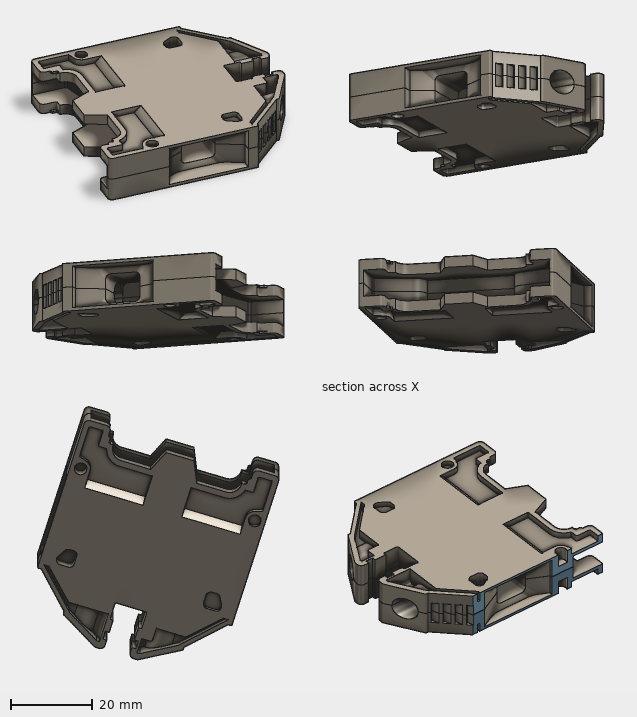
import cadquery as cq
import math

WIDTH = 50.0
HALF_WIDTH = WIDTH / 2
HALF_LENGTH = 27.5
HALF_THICKNESS = 6.0
CORNER_RADIUS = 1.2
SMALL_RADIUS = 0.35
CORNER_TOLERANCE = 0.005

FOOT_INNER_X = 18.35
FOOT_STEP_Y = -23.2
ARCH_X = 13.5
ARCH_RADIUS = 3.0
ARCH_TOP_Y = -19.95
ARCH_SIDE_X = ARCH_X + ARCH_RADIUS
TONGUE_TIP_X = 3.6
TONGUE_ROOT_X = 5.95
TONGUE_TIP_Y = -25.25

SHOULDER_X = 24.05
SHOULDER_Y = 12.3
LEDGE_X = 15.4
LEDGE_LOW_Y = 21.05
LEDGE_HIGH_Y = 21.8
SLOPE = math.tan(math.radians(30))
PEAK_X = LEDGE_X - (HALF_LENGTH - LEDGE_HIGH_Y) / SLOPE
SLOT_X = 3.25
SLOT_LOW_X = 4.05
SLOT_LOW_TOP_Y = 19.6
SLOT_BOTTOM_Y = 15.2
NOTCH_X = 4.25
NOTCH_LOW_Y = 22.9
NOTCH_HIGH_Y = 24.9

TOOTH_DEPTH = 0.55
TOOTH_TIP_X = 17.25
TOOTH_X = 17.7
TOOTH_LIP = 0.2
TOOTH_BOTTOM_Y = -25.1
TOOTH_CHAMFER = 0.45

CAVITY_HALF_HEIGHT = 3.3
CAVITY_HALF_WIDTH = 23.55
CAVITY_CORNER_X = 23.15
CAVITY_CORNER_Y = -18.3
CAVITY_SIDE_Y = -19.0
CAVITY_SHELF_X = 14.1
CAVITY_SHELF_Y = -15.95

RECESS_DEPTH = 1.65
RECESS_INNER_X = 5.0
RECESS_OUTER_X = 19.95
RECESS_FOOT_X = 23.55
RECESS_TOP_Y = -10.65
RECESS_RAMP_Y = -12.5
RECESS_WALL = 1.5
RECESS_KNEE_Y = -21.85
RECESS_FOOT_BOTTOM_Y = -26.0
RECESS_FOOT_DROP = 0.65
RECESS_ARC_END_ANGLE = 250

PEG_X = 22.4
PEG_Y = -15.0
PEG_DIAMETER = 3.0
DEEP = 3.6
SHALLOW = 1.45
KEY_INNER_X = 16.65
KEY_OUTER_X = 21.1
KEY_FLANK_X = 19.6
KEY_BOTTOM_Y = 5.5
KEY_TOP_Y = 9.9
KEY_FLANK_Y = 8.25

POCKET_WALL_X = 4.85
POCKET_TOP_Y = 25.8
POCKET_PEAK_X = 5.55
POCKET_BEND_X = 13.95
POCKET_BEND_Y = POCKET_TOP_Y - (POCKET_BEND_X - POCKET_PEAK_X) * SLOPE
POCKET_BOTTOM_Y = 18.4
POCKET_BOTTOM_X = 15.05
GROOVE_END_Y = 11.05
GROOVE_OUTER_END_X = 23.7
GROOVE_INNER_END_X = 22.45
POCKET_STEP_X = 7.5
POCKET_STEP_Y = 22.0
POCKET_FLOOR_Z = 3.6
TRENCH_FLOOR_Z = 1.75
STEPPED_TRENCH_FLOOR_Z = 0.55
TRENCH_RADIUS = 1.2
STEPPED_TRENCH_RADIUS = 0.95

SCREW_X = 10.6
SCREW_DIAMETER = 6.05
TUBE_RADIUS = 4.05

FUNNEL_LOW_Y = -11.55
FUNNEL_HIGH_Y = 9.5
FUNNEL_HEIGHT = 10.4
FUNNEL_THROAT_X = 19.65
FUNNEL_GROWTH = 2.0
PASSAGE_LENGTH = 9.0
PASSAGE_HALF_HEIGHT = 3.7
PASSAGE_CENTER_Y = -1.6
PASSAGE_RADIUS = 1.4
SECTION_SLAB = 0.55
PASSAGE_END_X = SCREW_X - SCREW_DIAMETER / 2

GRIP_COUNT = 4
GRIP_FIRST_Y = 20.55
GRIP_PITCH = 2.1
GRIP_WIDTH = 1.4
GRIP_BITE = 0.65
GRIP_HALF_HEIGHT = 2.95


def mirrored(points):
    """Points reflected in X."""
    return [(-x, y) for x, y in points]


def prism(points, low_z, high_z):
    """A closed polygon extruded between two heights."""
    return cq.Workplane("XY").workplane(offset=low_z).polyline(points).close().extrude(high_z - low_z)


def round_corners(body, corners, radius):
    """Rounds the upright edges that stand at the given points."""
    def at_corner(edge):
        center = edge.Center()
        return any(math.hypot(center.x - x, center.y - y) < CORNER_TOLERANCE for x, y in corners)

    return body.edges("|Z").filter(at_corner).fillet(radius)


def blank():
    """The solid outline of one housing half."""
    right_side = [
        (ARCH_SIDE_X, FOOT_STEP_Y),
        (FOOT_INNER_X, FOOT_STEP_Y),
        (FOOT_INNER_X, -HALF_LENGTH),
        (HALF_WIDTH, -HALF_LENGTH),
        (HALF_WIDTH, SHOULDER_Y),
        (SHOULDER_X, SHOULDER_Y),
        (LEDGE_X, LEDGE_LOW_Y),
        (LEDGE_X, LEDGE_HIGH_Y),
        (PEAK_X, HALF_LENGTH),
        (SLOT_X, HALF_LENGTH),
        (SLOT_X, NOTCH_HIGH_Y),
        (NOTCH_X, NOTCH_HIGH_Y),
        (NOTCH_X, NOTCH_LOW_Y),
        (SLOT_X, NOTCH_LOW_Y),
        (SLOT_X, SLOT_LOW_TOP_Y),
        (SLOT_LOW_X, SLOT_LOW_TOP_Y),
        (SLOT_LOW_X, SLOT_BOTTOM_Y),
    ]
    arch_end_y = ARCH_TOP_Y - ARCH_RADIUS
    outline = (
        cq.Workplane("XY")
        .moveTo(-TONGUE_TIP_X, TONGUE_TIP_Y)
        .lineTo(TONGUE_TIP_X, TONGUE_TIP_Y)
        .lineTo(TONGUE_ROOT_X, ARCH_TOP_Y)
        .lineTo(ARCH_X, ARCH_TOP_Y)
        .radiusArc((ARCH_SIDE_X, arch_end_y), ARCH_RADIUS)
    )
    for point in right_side + mirrored(right_side)[::-1]:
        outline = outline.lineTo(*point)
    body = (
        outline.lineTo(-ARCH_SIDE_X, arch_end_y)
        .radiusArc((-ARCH_X, ARCH_TOP_Y), ARCH_RADIUS)
        .lineTo(-TONGUE_ROOT_X, ARCH_TOP_Y)
        .close()
        .extrude(HALF_THICKNESS)
    )
    large = [
        (FOOT_INNER_X, -HALF_LENGTH),
        (HALF_WIDTH, -HALF_LENGTH),
        (PEAK_X, HALF_LENGTH),
        (SLOT_X, HALF_LENGTH),
    ]
    small = [
        (FOOT_INNER_X, FOOT_STEP_Y),
        (HALF_WIDTH, SHOULDER_Y),
        (LEDGE_X, LEDGE_HIGH_Y),
        (SLOT_LOW_X, SLOT_LOW_TOP_Y),
        (SLOT_LOW_X, SLOT_BOTTOM_Y),
    ]
    body = round_corners(body, large + mirrored(large), CORNER_RADIUS)
    return round_corners(body, small + mirrored(small), SMALL_RADIUS)


def tooth():
    """The small tooth beside the +X foot."""
    points = [
        (FOOT_INNER_X, FOOT_STEP_Y),
        (TOOTH_TIP_X, FOOT_STEP_Y),
        (TOOTH_TIP_X, FOOT_STEP_Y - TOOTH_LIP),
        (TOOTH_X, FOOT_STEP_Y - TOOTH_LIP),
        (TOOTH_X, TOOTH_BOTTOM_Y + TOOTH_CHAMFER),
        (FOOT_INNER_X, TOOTH_BOTTOM_Y),
    ]
    return prism(points, HALF_THICKNESS - TOOTH_DEPTH, HALF_THICKNESS)


def rail_cavity():
    """The space between the plates, open toward -Y, with a rounded shelf at each side."""
    roof_y = CAVITY_SHELF_Y + ARCH_RADIUS
    roof_x = CAVITY_SHELF_X - ARCH_RADIUS
    return (
        cq.Workplane("XY")
        .moveTo(-CAVITY_HALF_WIDTH, -HALF_LENGTH)
        .lineTo(CAVITY_HALF_WIDTH, -HALF_LENGTH)
        .lineTo(CAVITY_HALF_WIDTH, CAVITY_SIDE_Y)
        .lineTo(CAVITY_CORNER_X, CAVITY_CORNER_Y)
        .lineTo(CAVITY_SHELF_X, CAVITY_SHELF_Y)
        .radiusArc((roof_x, roof_y), ARCH_RADIUS)
        .lineTo(-roof_x, roof_y)
        .radiusArc((-CAVITY_SHELF_X, CAVITY_SHELF_Y), ARCH_RADIUS)
        .lineTo(-CAVITY_CORNER_X, CAVITY_CORNER_Y)
        .lineTo(-CAVITY_HALF_WIDTH, CAVITY_SIDE_Y)
        .close()
        .extrude(CAVITY_HALF_HEIGHT)
    )


def foot_recess():
    """The shallow recess above the +X foot, with a ramp along its upper side."""
    floor_z = HALF_THICKNESS - RECESS_DEPTH
    peg_arc_radius = PEG_X - RECESS_OUTER_X
    arc_end_angle = math.radians(RECESS_ARC_END_ANGLE)
    arc_end = (
        PEG_X + peg_arc_radius * math.cos(arc_end_angle),
        PEG_Y + peg_arc_radius * math.sin(arc_end_angle),
    )
    arch_y = ARCH_TOP_Y + RECESS_WALL
    outer_radius = ARCH_RADIUS + RECESS_WALL
    arch_center_y = ARCH_TOP_Y - ARCH_RADIUS
    knee_x = ARCH_X + math.sqrt(outer_radius**2 - (RECESS_KNEE_Y - arch_center_y) ** 2)
    recess = (
        cq.Workplane("XY")
        .workplane(offset=floor_z)
        .moveTo(RECESS_INNER_X, RECESS_TOP_Y)
        .lineTo(RECESS_OUTER_X, RECESS_TOP_Y)
        .lineTo(RECESS_OUTER_X, PEG_Y)
        .radiusArc(arc_end, -peg_arc_radius)
        .lineTo(RECESS_FOOT_X, arc_end[1] - RECESS_FOOT_DROP)
        .lineTo(RECESS_FOOT_X, RECESS_FOOT_BOTTOM_Y)
        .lineTo(RECESS_OUTER_X, RECESS_FOOT_BOTTOM_Y)
        .lineTo(RECESS_OUTER_X, RECESS_KNEE_Y)
        .lineTo(knee_x, RECESS_KNEE_Y)
        .radiusArc((ARCH_X, arch_y), -outer_radius)
        .lineTo(RECESS_INNER_X, arch_y)
        .close()
        .extrude(RECESS_DEPTH)
    )
    corners = [
        (RECESS_FOOT_X, RECESS_FOOT_BOTTOM_Y),
        (RECESS_OUTER_X, RECESS_FOOT_BOTTOM_Y),
        (RECESS_OUTER_X, RECESS_KNEE_Y),
    ]
    recess = round_corners(recess, corners, SMALL_RADIUS)
    ramp = (
        cq.Workplane("YZ")
        .polyline([
            (RECESS_TOP_Y, HALF_THICKNESS),
            (RECESS_TOP_Y, floor_z),
            (RECESS_RAMP_Y, floor_z),
        ])
        .close()
        .extrude(HALF_WIDTH)
    )
    return recess.cut(ramp)


def peg_hole(depth):
    """The round hole above the +X foot."""
    return (
        cq.Workplane("XY", origin=(0, 0, HALF_THICKNESS - depth))
        .center(PEG_X, PEG_Y)
        .circle(PEG_DIAMETER / 2)
        .extrude(depth)
    )


def key_pocket(depth):
    """The five-sided pocket at the +X side, narrower at its lower end."""
    points = [
        (KEY_INNER_X, KEY_BOTTOM_Y),
        (KEY_FLANK_X, KEY_BOTTOM_Y),
        (KEY_OUTER_X, KEY_FLANK_Y),
        (KEY_OUTER_X, KEY_TOP_Y),
        (KEY_INNER_X, KEY_TOP_Y),
    ]
    return prism(points, HALF_THICKNESS - depth, HALF_THICKNESS).edges("|Z").fillet(CORNER_RADIUS)


def tube_pocket(stepped):
    """The +X upper pocket and groove; a stepped one keeps a block at its lower inner corner."""
    if stepped:
        trench_floor_z = STEPPED_TRENCH_FLOOR_Z
        trench_radius = STEPPED_TRENCH_RADIUS
        inner_corner = [
            (POCKET_STEP_X, POCKET_BOTTOM_Y),
            (POCKET_STEP_X, POCKET_STEP_Y - SMALL_RADIUS),
            (POCKET_STEP_X - SMALL_RADIUS, POCKET_STEP_Y),
            (POCKET_WALL_X, POCKET_STEP_Y),
        ]
    else:
        trench_floor_z = TRENCH_FLOOR_Z
        trench_radius = TRENCH_RADIUS
        inner_corner = [(POCKET_WALL_X, POCKET_BOTTOM_Y)]
    points = inner_corner + [
        (POCKET_WALL_X, POCKET_TOP_Y),
        (POCKET_PEAK_X, POCKET_TOP_Y),
        (POCKET_BEND_X, POCKET_BEND_Y),
        (GROOVE_OUTER_END_X, GROOVE_END_Y),
        (GROOVE_INNER_END_X, GROOVE_END_Y),
        (POCKET_BOTTOM_X, POCKET_BOTTOM_Y),
    ]
    pocket = prism(points, trench_floor_z, HALF_THICKNESS)
    wall_foot = pocket.faces("<Z").edges("<X")
    pocket = wall_foot.fillet(trench_radius)
    floor = cq.Workplane("XY").box(
        HALF_WIDTH - SCREW_X, HALF_LENGTH, POCKET_FLOOR_Z, centered=False
    ).translate((SCREW_X, 0, 0))
    tube = (
        cq.Workplane("XZ")
        .center(SCREW_X, 0)
        .circle(TUBE_RADIUS)
        .extrude(-HALF_LENGTH)
    )
    return pocket.cut(floor).cut(tube)


def screw_hole():
    """The round hole along Y from the slope into the wire passage at the +X side."""
    return (
        cq.Workplane("XZ", origin=(0, PASSAGE_CENTER_Y, 0))
        .center(SCREW_X, 0)
        .circle(SCREW_DIAMETER / 2)
        .extrude(PASSAGE_CENTER_Y - HALF_LENGTH)
    )


def passage_wire(x, growth):
    """The rounded outline of the wire passage at one X, widened on every side by growth."""
    length = PASSAGE_LENGTH + 2 * growth
    height = 2 * (PASSAGE_HALF_HEIGHT + growth)
    slab = (
        cq.Workplane("YZ", origin=(x, PASSAGE_CENTER_Y, 0))
        .rect(length, height)
        .extrude(SECTION_SLAB)
        .edges("|X")
        .fillet(PASSAGE_RADIUS)
    )
    return slab.faces("<X").wires().val()


def wire_entry():
    """The +X wire funnel, clipped to a box, and the rounded passage behind it."""
    throat = passage_wire(FUNNEL_THROAT_X, 0)
    mouth = passage_wire(HALF_WIDTH, FUNNEL_GROWTH * (HALF_WIDTH - FUNNEL_THROAT_X))
    cone = cq.Workplane(cq.Solid.makeLoft([throat, mouth], True))
    mouth_box = cq.Workplane("XY").box(
        HALF_WIDTH, FUNNEL_HIGH_Y - FUNNEL_LOW_Y, FUNNEL_HEIGHT, centered=(False, False, True)
    ).translate((0, FUNNEL_LOW_Y, 0))
    passage_end = passage_wire(PASSAGE_END_X, 0)
    passage = cq.Workplane(cq.Solid.makeLoft([passage_end, throat], True))
    return cone.intersect(mouth_box).union(passage)


def grip_grooves():
    """V-shaped grooves across the middle of the +X bevel."""
    run = (SHOULDER_X - LEDGE_X) / (LEDGE_LOW_Y - SHOULDER_Y)
    grooves = cq.Workplane("XY")
    for index in range(GRIP_COUNT):
        high_y = GRIP_FIRST_Y - index * GRIP_PITCH
        high_x = SHOULDER_X - (high_y - SHOULDER_Y) * run
        low_y = high_y - GRIP_WIDTH
        low_x = high_x + GRIP_WIDTH * run
        apex = (high_x - GRIP_BITE, high_y - GRIP_WIDTH / 2)
        grooves = grooves.add(prism([(high_x, high_y), apex, (low_x, low_y)], 0, GRIP_HALF_HEIGHT))
    return grooves.combine()


def on_both_sides(body, feature, combine):
    """Applies one feature at +X and its reflection at -X."""
    return combine(combine(body, feature), feature.mirror("YZ"))


def add(body, feature):
    """The body with the feature joined on."""
    return body.union(feature)


def remove(body, feature):
    """The body with the feature cut away."""
    return body.cut(feature)


def housing_half():
    """The upper half of the housing, from the parting plane at Z = 0 to its outer face."""
    half = on_both_sides(blank(), tooth(), add)
    half = half.cut(rail_cavity())
    for feature in (foot_recess(), wire_entry(), screw_hole(), grip_grooves()):
        half = on_both_sides(half, feature, remove)
    half = half.cut(peg_hole(SHALLOW)).cut(peg_hole(DEEP).mirror("YZ"))
    half = half.cut(key_pocket(SHALLOW)).cut(key_pocket(DEEP).mirror("YZ"))
    return half.cut(tube_pocket(True)).cut(tube_pocket(False).mirror("YZ"))


upper_half = housing_half()
lower_half = upper_half.mirror("XY")

result = cq.Compound.makeCompound([upper_half.val(), lower_half.val()])